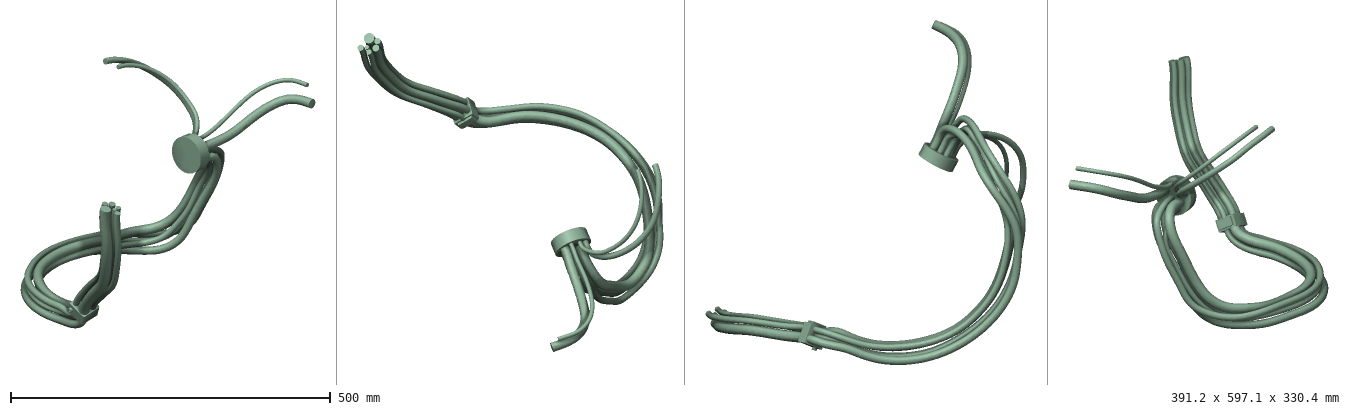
import cadquery as cq

HUB_DIAMETER = 60.0
HUB_THICKNESS = 20.0
HUB_AXIS = cq.Vector(0, 1, 0)
HUB_STUB = 6.0

CLAMP_CENTRE = cq.Vector(55.0, -307.0, -153.5)
CLAMP_AXIS = cq.Vector(0.46, -0.28, 0.85).normalized()
CLAMP_WIDTH = 34.5
CLAMP_DEPTH = 33.0
CLAMP_LENGTH = 20.0
BOLT_HEAD_DIAMETER = 8.0
BOLT_HEAD_HEIGHT = 4.0
BOLT_SOCKET_DIAMETER = 3.0
BOLT_SOCKET_DEPTH = 2.0
BOLT_OFFSET = -10.0
BACK_PLATE_WIDTH = 26.0
BACK_PLATE_THICKNESS = 4.0
BACK_PLATE_LENGTH = 14.0
CLAMP_STUB = 1.0

BRANCHES = [
    (10.0, (-19.3, 9), (0, -1, 0), [
        (-19.3, 35, 11), (-33, 60, 27), (-60, 72, 47), (-90, 72, 69),
        (-122, 55, 94), (-139, 30, 111), (-149, 5, 120), (-152, -18.7, 123.5),
    ]),
    (7.0, (-10.4, 15.4), (0, -1, 0), [
        (-12.5, 36, 20), (-18, 46, 29), (-30.5, 58, 41), (-48, 63, 55),
        (-66, 63, 70), (-84, 57, 86), (-104, 39, 104), (-116, 17, 115), (-123.6, -21, 122),
    ]),
    (7.0, (4, 21), (1, 0, 0), [
        (5, 45, 24), (6, 80, 36), (9.5, 113, 53), (18.7, 149, 71),
        (34, 172, 81), (55, 184, 86), (89.5, 185, 86.5),
    ]),
    (15.0, (14, 10), (1, 0, 0), [
        (16, 49, 11), (20, 93, 18), (24, 121, 29), (34, 157, 44),
        (54, 178, 55), (76, 184, 58), (100, 184.2, 58),
    ]),
]

MAIN_HOSES = [
    (16.0, (-11, -6), (-9, -9.5), [
        (-11, 45, -6), (-15, 66, -14), (-23, 77, -34), (-39, 75, -69), (-60, 65, -117),
        (-79, 57, -144), (-101, 42, -160), (-125, 18, -166), (-143, -20, -171),
        (-156, -69, -171), (-160, -112, -171), (-154.5, -148, -171), (-140, -186, -171),
        (-109, -226, -171), (-68, -257.5, -171), (-24, -276.5, -170), (10, -281.5, -168), (31, -286, -163),
    ]),
    (13.0, (14, -10), (10, 8), [
        (15, 45, -12), (6, 66, -45), (-18, 68, -89), (-40, 58.5, -135), (-57, 48, -170),
        (-82, 35, -189), (-115, 18, -195), (-145, -5, -195), (-168, -45, -192),
        (-180, -80, -191), (-182.5, -112, -191), (-175, -155, -191), (-157, -197, -191),
        (-116, -248.5, -191), (-85, -271, -191), (-53, -285.5, -191), (-24, -292, -191),
        (5, -296, -190), (35, -305, -184.5),
    ]),
    (11.0, (3, -2), (-9, 8), [
        (2, 60, -8), (-1, 82, -20), (-8, 90, -42), (-22, 90, -80), (-40, 82, -120),
        (-56, 75, -150), (-85, 60, -169), (-117, 41, -175), (-149, 7, -171),
        (-165, -35, -169), (-175, -75, -169), (-177, -112, -169), (-169, -155, -169),
        (-151, -195.5, -169), (-113, -246, -169), (-83, -268, -169), (-52, -283, -169),
        (-24, -291, -169), (3, -297.5, -168),
    ]),
    (9.0, (-8, -18.6), (1, 0.3), [
        (-10, 52, -23), (-12, 70.5, -38.5), (-14, 78.5, -55), (-27, 77, -85), (-47, 70, -125),
        (-64, 60, -153), (-84, 47, -172), (-112, 30, -181), (-146, 0, -180),
        (-163, -37, -180), (-174, -75, -180), (-176, -112, -180), (-168, -155, -180),
        (-150, -195.5, -180), (-112, -246, -180), (-82, -268, -180), (-51, -283, -180),
        (-22, -289.5, -179.5), (8, -293, -178.5), (32, -297.2, -176),
    ]),
    (10.0, (3, -17), (6, -9), [
        (3, 44, -20), (-8, 63, -45), (-30, 65.5, -80), (-46.5, 58, -120), (-65, 48, -150),
        (-82, 36, -170), (-105, 20, -180), (-132, -10, -184), (-150, -50, -186),
        (-158, -82, -186), (-160, -112, -186), (-154.5, -148, -186), (-140, -186, -186),
        (-109, -226, -186), (-68, -256.5, -186), (-23, -277, -186), (12, -284, -185),
    ]),
]

RISE_CENTRES = [
    (82, -321, -120), (112, -335, -94), (141, -349, -69), (162.5, -365, -32), (177, -378, 17),
    (183, -384.7, 73),
]
RISE_END_AXIS = cq.Vector(0.29, -0.05, 0.957).normalized()
RISING_HOSES = [
    (17.0, (7.5, 7.5), (-3, 12)),
    (10.0, (-10, 8.5), (-13.5, 1.5)),
    (11.0, (-11, -6.5), (-7, -8)),
    (6.5, (-1, -5.5), (5.5, 0)),
    (8.5, (1, -13.5), (5.5, -9)),
    (10.0, (11, -8), (15, 3.5)),
]


JOIN_TOLERANCE = 0.001


def across_direction(axis):
    """Direction square to the axis, level in Y and pointing to +X."""
    return cq.Vector(axis.z, 0, -axis.x).normalized()


def section_point(centre, axis, across, outward):
    """Point in the plane square to the axis; outward is mostly -Y."""
    across_axis = across_direction(axis)
    return centre + across_axis * across + across_axis.cross(axis) * outward


def hub_joint(place):
    x, z = place
    return cq.Vector(x, HUB_THICKNESS + HUB_STUB, z)


def clamp_joint(place, side):
    """side is +1 for the rising bundle and -1 for the main hoses."""
    reach = side * (CLAMP_LENGTH / 2 + CLAMP_STUB)
    return section_point(CLAMP_CENTRE + CLAMP_AXIS * reach, CLAMP_AXIS, *place)


def stub(diameter, joint, direction, length):
    """Straight hose end running back from the joint."""
    return cq.Workplane(cq.Solid.makeCylinder(diameter / 2, length, joint, direction * -1))


def hub_with_stubs():
    body = cq.Workplane("XZ").circle(HUB_DIAMETER / 2).extrude(-HUB_THICKNESS)
    length = HUB_STUB + HUB_THICKNESS / 2
    for diameter, place, *_ in BRANCHES + MAIN_HOSES:
        body = body.union(stub(diameter, hub_joint(place), HUB_AXIS, length))
    return body.val()


def bolt_head():
    """Socket bolt head on the outward face of the clamp."""
    outward_axis = across_direction(CLAMP_AXIS).cross(CLAMP_AXIS)
    seat = section_point(CLAMP_CENTRE, CLAMP_AXIS, BOLT_OFFSET, CLAMP_DEPTH / 2)
    head = cq.Workplane(cq.Plane(origin=seat, normal=outward_axis))
    head = head.circle(BOLT_HEAD_DIAMETER / 2).extrude(BOLT_HEAD_HEIGHT)
    return head.faces("<Y").workplane().hole(BOLT_SOCKET_DIAMETER, BOLT_SOCKET_DEPTH)


def clamp_with_stubs():
    plane = cq.Plane(origin=CLAMP_CENTRE, xDir=across_direction(CLAMP_AXIS), normal=CLAMP_AXIS)
    body = cq.Workplane(plane).box(CLAMP_WIDTH, CLAMP_DEPTH, CLAMP_LENGTH)
    back_plate_place = (CLAMP_DEPTH + BACK_PLATE_THICKNESS) / 2
    back_plate = cq.Workplane(plane).center(0, back_plate_place)
    body = body.union(back_plate.box(BACK_PLATE_WIDTH, BACK_PLATE_THICKNESS, BACK_PLATE_LENGTH))
    length = CLAMP_STUB + CLAMP_LENGTH / 4
    for diameter, _, place, _ in MAIN_HOSES:
        body = body.union(stub(diameter, clamp_joint(place, -1), CLAMP_AXIS * -1, length))
    for diameter, place, _ in RISING_HOSES:
        body = body.union(stub(diameter, clamp_joint(place, 1), CLAMP_AXIS, length))
    return body.union(bolt_head()).val()


def hose(diameter, points, start_axis, end_axis):
    """Round hose along a smooth curve through the points."""
    path = cq.Workplane("XY").spline(points, tangents=[start_axis, end_axis], scale=False)
    section = cq.Workplane(cq.Plane(origin=points[0], normal=start_axis)).circle(diameter / 2)
    return section.sweep(path).val()


def branch(diameter, place, end_axis, points):
    return hose(diameter, [hub_joint(place)] + vectors(points), HUB_AXIS, cq.Vector(end_axis))


def main_hose(diameter, place, clamp_place, points):
    ends = [hub_joint(place), clamp_joint(clamp_place, -1)]
    return hose(diameter, ends[:1] + vectors(points) + ends[1:], HUB_AXIS, CLAMP_AXIS)


def rising_hose(diameter, clamp_place, end_place):
    """Hose whose place in the bundle shifts evenly from the clamp to the cut ends."""
    centres = [clamp_joint((0, 0), 1)] + vectors(RISE_CENTRES)
    last = len(centres) - 1
    axes = [(centres[i + 1] - centres[i - 1]).normalized() for i in range(1, last)]
    axes = [CLAMP_AXIS] + axes + [RISE_END_AXIS]
    points = []
    for i in range(last + 1):
        share = i / last
        across, outward = [a + (b - a) * share for a, b in zip(clamp_place, end_place)]
        points.append(section_point(centres[i], axes[i], across, outward))
    return hose(diameter, points, CLAMP_AXIS, RISE_END_AXIS)


def vectors(points):
    return [cq.Vector(p) for p in points]


def is_joint(face, joints):
    return any((face.Center() - joint).Length < JOIN_TOLERANCE for joint in joints)


joints = [hub_joint(place) for _, place, *_ in BRANCHES + MAIN_HOSES]
joints += [clamp_joint(place, -1) for _, _, place, _ in MAIN_HOSES]
joints += [clamp_joint(place, 1) for _, place, _ in RISING_HOSES]

bodies = [hub_with_stubs(), clamp_with_stubs()]
bodies += [branch(*data) for data in BRANCHES]
bodies += [main_hose(*data) for data in MAIN_HOSES]
bodies += [rising_hose(*data) for data in RISING_HOSES]

skin = [face for body in bodies for face in body.Faces() if not is_joint(face, joints)]
result = cq.Workplane(cq.Solid.makeSolid(cq.Shell.makeShell(skin)))